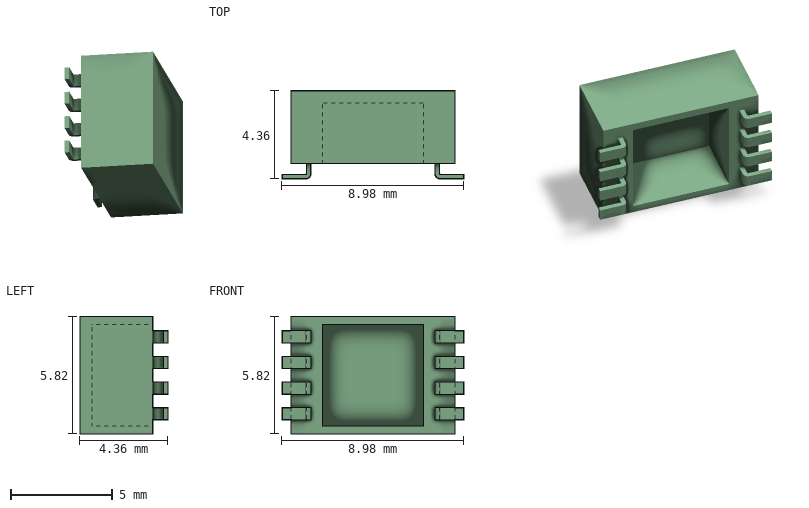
import cadquery as cq

overall_length = 8.98
overall_depth = 4.36
body_length = 8.12
body_depth = 3.61
body_height = 5.82
pocket_side = 5.01
pocket_depth = 3.0

leads_per_side = 4
lead_pitch = 1.27
lead_width = 0.61
lead_thickness = 0.23
foot_length = 1.43
bend_outer_radius = 0.26
bend_inner_radius = bend_outer_radius - lead_thickness

foot_front = body_depth - overall_depth
foot_back = foot_front + lead_thickness
foot_tip = overall_length / 2
leg_inner = foot_tip - foot_length
leg_outer = leg_inner + lead_thickness


def make_housing():
    block = cq.Workplane("XY").box(
        body_length, body_depth, body_height, centered=(True, False, True)
    )
    pocket = cq.Workplane("XY").box(
        pocket_side, pocket_depth, pocket_side, centered=(True, False, True)
    )
    return block.cut(pocket)


def make_lead(height):
    """One lead on the +X side, centred at the given Z."""
    lead = (
        cq.Workplane("XY")
        .workplane(offset=height - lead_width / 2)
        .moveTo(leg_inner, 0)
        .lineTo(leg_inner, foot_front + bend_outer_radius)
        .radiusArc((leg_inner + bend_outer_radius, foot_front), -bend_outer_radius)
        .lineTo(foot_tip, foot_front)
        .lineTo(foot_tip, foot_back)
        .lineTo(leg_outer + bend_inner_radius, foot_back)
        .radiusArc((leg_outer, foot_back + bend_inner_radius), bend_inner_radius)
        .lineTo(leg_outer, 0)
        .close()
        .extrude(lead_width)
    )
    return lead


result = make_housing()
for index in range(leads_per_side):
    lead_height = (index - (leads_per_side - 1) / 2) * lead_pitch
    right_lead = make_lead(lead_height)
    result = result.union(right_lead).union(right_lead.mirror("YZ"))